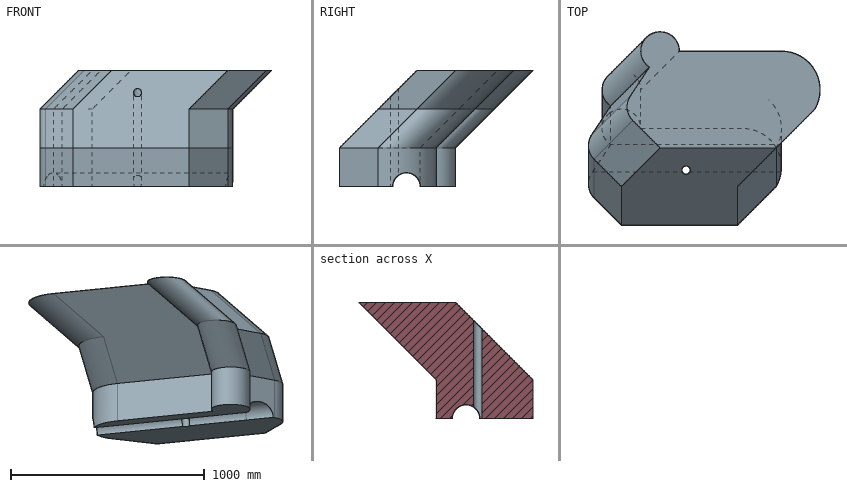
import cadquery as cq
import math

step = 200.0
front_length = 3 * step
back_y = 2.5 * step
round_radius = step / 2
back_right_radius = step
left_chamfer = step / math.sqrt(2)
right_chamfer = step
hole_diameter = 42.0
hole_x, hole_y = 335.0, 285.0
groove_radius = 71.0
groove_y = 346.0


def polar(center, radius, angle):
    """Point on a circle, with the angle in radians."""
    return (center[0] + radius * math.cos(angle), center[1] + radius * math.sin(angle))


def layer_outline():
    """Closed outline shared by all layers, starting at the front left corner."""
    front_right = (front_length, 0)
    chamfer_end = (front_length + right_chamfer, right_chamfer)

    round_y = back_y - back_right_radius
    round_drop = round_y - right_chamfer
    round_x = chamfer_end[0] - math.sqrt(back_right_radius**2 - round_drop**2)
    round_center = (round_x, round_y)

    lobe_center = (0, back_y)
    lobe_start = (round_radius, back_y)

    left_end = (-left_chamfer, left_chamfer)
    corner_center = polar(left_end, round_radius, math.radians(45))

    dx = corner_center[0] - lobe_center[0]
    dy = corner_center[1] - lobe_center[1]
    tangent_offset = math.asin(round_radius / math.hypot(dx, dy))
    waist_angle = math.atan2(dy, dx) - tangent_offset
    lobe_end = polar(lobe_center, round_radius, waist_angle)
    corner_start_angle = waist_angle - math.pi / 2
    corner_start = polar(corner_center, round_radius, corner_start_angle)
    corner_end_angle = math.radians(-135)
    corner_mid_angle = (corner_start_angle % math.tau + corner_end_angle % math.tau) / 2
    corner_mid = polar(corner_center, round_radius, corner_mid_angle)

    return (
        cq.Workplane("XY")
        .moveTo(0, 0)
        .lineTo(*front_right)
        .lineTo(*chamfer_end)
        .threePointArc(
            polar(round_center, back_right_radius, math.radians(30)),
            (round_x, back_y),
        )
        .lineTo(*lobe_start)
        .threePointArc(polar(lobe_center, round_radius, math.radians(120)), lobe_end)
        .lineTo(*corner_start)
        .threePointArc(corner_mid, left_end)
        .close()
        .val()
    )


def stacked_layers():
    """Upright base, layer leaning to +Y, then layer leaning to +X and +Y."""
    leans = [
        cq.Vector(0, 0, step),
        cq.Vector(0, step, step),
        cq.Vector(step, step, step),
    ]
    outline = layer_outline()
    base_position = cq.Vector(0, 0, 0)
    body = cq.Workplane("XY")
    for lean in leans:
        layer = cq.Solid.extrudeLinear(outline.translate(base_position), [], lean)
        body = body.add(layer)
        base_position = base_position + lean
    return body.combine()


def vertical_hole():
    """Through hole that opens on the sloping front."""
    return (
        cq.Workplane("XY")
        .center(hole_x, hole_y)
        .circle(hole_diameter / 2)
        .extrude(3 * step)
    )


def bottom_groove():
    """Half-round groove along X through the underside."""
    half_length = 2 * front_length
    return (
        cq.Workplane("YZ")
        .center(groove_y, 0)
        .circle(groove_radius)
        .extrude(half_length, both=True)
    )


result = stacked_layers().cut(vertical_hole()).cut(bottom_groove())